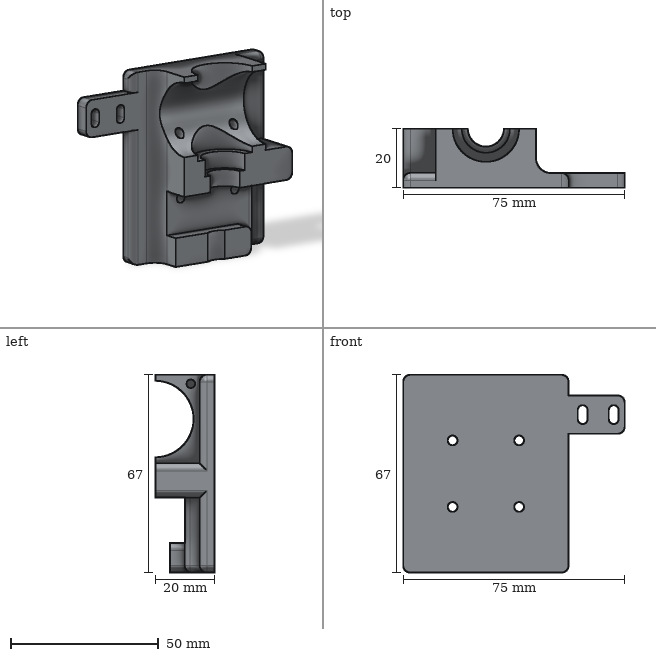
import cadquery as cq
import math

plate_width = 56.0
plate_height = 67.0
plate_thickness = 5.0
edge_radius = 2.5
center_x = plate_width / 2
center_z = plate_height / 2

pad_depth = 2 * plate_thickness
blend_radius = pad_depth - plate_thickness

ear_end_x = 75.0
ear_bottom_z = 46.95
ear_height = 13.05
slot_width = 3.2
slot_length = 6.3
slot_spacing = 10.5
outer_slot_x = 71.25

block_depth = 20.0
block_width = 34.0
block_left = center_x - block_width / 2
block_right = center_x + block_width / 2
shelf_bottom_z = 25.35
shelf_top_z = 37.0
cross_bore_radius = 12.9
cross_bore_z = (shelf_top_z + plate_height) / 2

wide_bore_radius = 11.25
seat_bore_radius = 8.2
shaft_bore_radius = 6.1
seat_z = (shelf_bottom_z + shelf_top_z) / 2

foot_depth = 3 * plate_thickness
foot_height = 10.05
foot_left = block_left + edge_radius

plate_hole_diameter = 3.2
plate_hole_spacing = 22.5
pin_hole_diameter = 2.9
pin_hole_depth = 7.5
pin_hole_y = 8.0
pin_hole_z = 63.9

blend_angle = math.acos(edge_radius / (blend_radius + edge_radius))
blend_width = (blend_radius + edge_radius) * math.sin(blend_angle)
blend_start_x = block_left - blend_width


def box(x_start, x_end, depth, z_start, z_end):
    """Box that starts at the front face of the plate."""
    size = (x_end - x_start, depth, z_end - z_start)
    return cq.Workplane("XY").box(*size, centered=False).translate((x_start, 0, z_start))


def bar(x_start, x_end, depth, z_start, z_end):
    """Box whose left face is rounded at its top and bottom."""
    return box(x_start, x_end, depth, z_start, z_end).edges("|Y and <X").fillet(edge_radius)


def point_on_arc(center, radius, angle):
    """Point at an angle measured from +Y towards +X."""
    return (center[0] + radius * math.sin(angle), center[1] + radius * math.cos(angle))


def round_left_back_edge(body, z):
    """Round the left back edge at height z and the smooth edges that carry it on."""
    left_back_edge = cq.selectors.NearestToPointSelector((0, plate_thickness, z))
    return body.edges(left_back_edge).fillet(edge_radius)


def make_upper_left_plate():
    strip = box(0, block_left, plate_thickness, shelf_bottom_z, plate_height)
    strip = strip.edges("|Y and <X and >Z").fillet(edge_radius)
    return round_left_back_edge(strip, (shelf_bottom_z + plate_height) / 2)


def make_pad():
    """Lower left plate and the pad that rises from it below the shelf."""
    concave_center = (blend_start_x, plate_thickness + blend_radius)
    convex_center = (block_left, pad_depth - edge_radius)
    pad = (
        cq.Workplane("XY")
        .lineTo(block_right, 0)
        .lineTo(block_right, pad_depth)
        .lineTo(block_left, pad_depth)
        .threePointArc(
            point_on_arc(convex_center, edge_radius, -blend_angle / 2),
            point_on_arc(convex_center, edge_radius, -blend_angle),
        )
        .threePointArc(
            point_on_arc(concave_center, blend_radius, math.pi - blend_angle / 2),
            (blend_start_x, plate_thickness),
        )
        .lineTo(0, plate_thickness)
        .close()
        .extrude(shelf_bottom_z)
    )
    pad = pad.edges("|Y and <X and <Z").fillet(edge_radius)
    return round_left_back_edge(pad, shelf_bottom_z / 2)


def make_right_plate():
    """Rest of the plate, with a full-height blend into the right face of the block."""
    blend_center = (block_right + blend_radius, plate_thickness + blend_radius)
    edge_center = (plate_width - edge_radius, plate_thickness - edge_radius)
    plate = (
        cq.Workplane("XY")
        .moveTo(block_left, 0)
        .lineTo(plate_width, 0)
        .lineTo(plate_width, edge_center[1])
        .threePointArc(
            point_on_arc(edge_center, edge_radius, math.pi / 4),
            (edge_center[0], plate_thickness),
        )
        .lineTo(blend_center[0], plate_thickness)
        .threePointArc(
            point_on_arc(blend_center, blend_radius, -3 * math.pi / 4),
            (block_right, pad_depth),
        )
        .lineTo(block_right, plate_thickness)
        .lineTo(block_left, plate_thickness)
        .close()
        .extrude(plate_height)
    )
    corner_outline = box(0, plate_width, block_depth, 0, plate_height)
    corner_outline = corner_outline.edges("|Y and >X").fillet(edge_radius)
    return plate.intersect(corner_outline)


def make_ear():
    ear = box(center_x, ear_end_x, plate_thickness, ear_bottom_z, ear_bottom_z + ear_height)
    ear = ear.edges("|Y and >X").fillet(edge_radius)
    slot_z = ear_bottom_z + ear_height / 2
    slot_centers = [(outer_slot_x, slot_z), (outer_slot_x - slot_spacing, slot_z)]
    slots = (
        cq.Workplane("XZ")
        .pushPoints(slot_centers)
        .slot2D(slot_length, slot_width, 90)
        .extrude(-plate_thickness)
    )
    return ear.cut(slots)


def vertical_bore(radius, z_start, z_end):
    cylinder = cq.Workplane("XY").circle(radius).extrude(z_end - z_start)
    return cylinder.translate((center_x, block_depth, z_start))


def cross_bore():
    """Bore along X through the block and the blend on its right."""
    bore_length = block_width + blend_radius
    cylinder = cq.Workplane("YZ").circle(cross_bore_radius).extrude(bore_length)
    return cylinder.translate((block_left, block_depth, cross_bore_z))


def plate_holes():
    return (
        cq.Workplane("XZ")
        .center(center_x, center_z)
        .rarray(plate_hole_spacing, plate_hole_spacing, 2, 2)
        .circle(plate_hole_diameter / 2)
        .extrude(-block_depth)
    )


def pin_hole():
    hole = cq.Workplane("YZ").circle(pin_hole_diameter / 2).extrude(pin_hole_depth)
    return hole.translate((block_left, pin_hole_y, pin_hole_z))


result = (
    make_pad()
    .union(make_upper_left_plate())
    .union(make_right_plate())
    .union(make_ear())
    .union(box(block_left, block_right, block_depth, shelf_top_z, plate_height))
    .union(bar(0, block_right, block_depth, shelf_bottom_z, shelf_top_z))
    .union(bar(foot_left, block_right, foot_depth, 0, foot_height))
    .cut(cross_bore())
    .cut(vertical_bore(wide_bore_radius, shelf_top_z, plate_height))
    .cut(vertical_bore(seat_bore_radius, seat_z, shelf_top_z))
    .cut(vertical_bore(shaft_bore_radius, 0, seat_z))
    .cut(plate_holes())
    .cut(pin_hole())
)